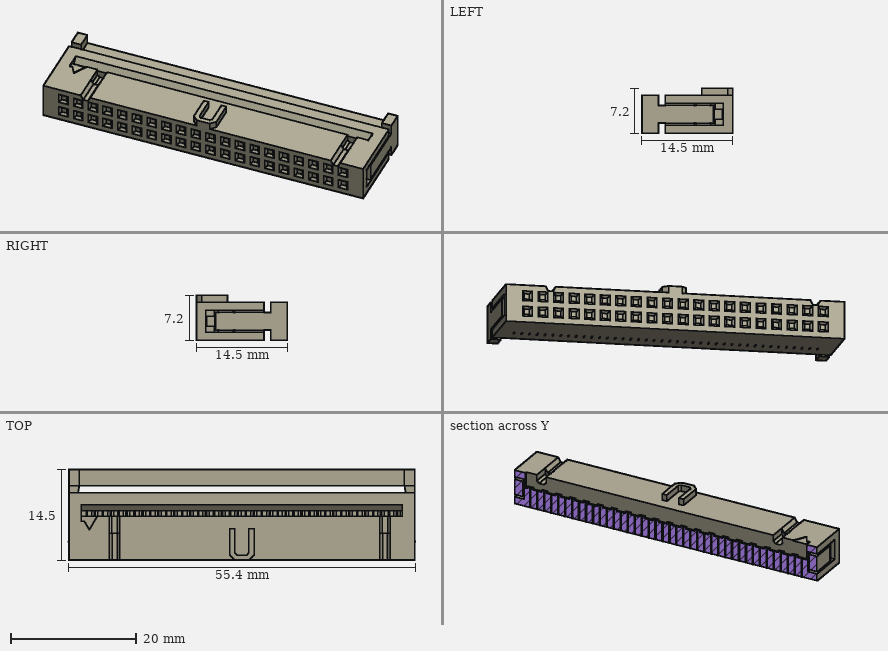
import cadquery as cq


overall_length = 55.4
overall_depth = 14.5
overall_height = 7.2
key_height = 1.1
body_depth = 10.8
arm_tip_bulge = 0.085
body_length = overall_length - 2 * arm_tip_bulge
body_height = overall_height - key_height
half_length = body_length / 2
mid_height = body_height / 2

clamp_bar_depth = 2.65
clamp_front = overall_depth - clamp_bar_depth
post_length = 1.65
arm_height = 2.8
arm_bottom = mid_height - arm_height / 2
arm_neck = 1.5
arm_end = 2.95
arm_tip_length = 0.15

column_count = 20
row_count = 2
row_length = 48.25
pitch = row_length / (column_count - 1)
wire_offset = pitch / 4
hole_mouth = 1.6
hole_floor = 0.85
hole_depth = (hole_mouth - hole_floor) / 2

slot_end_wall = 2.0
slot_length = body_length - 2 * slot_end_wall
slot_front = 7.05
slot_rear = 7.85
slot_lead_in = 1.0
slot_depth = 2.7
slot_floor = body_height - slot_depth
blade_width = 1.0
blade_rise = 0.3
slit_width = 0.1

channel_after_columns = (1, 18)
channel_width = 1.65
channel_floor_width = 0.8
channel_depth = 0.8
pocket_start = 4.3
pocket_depth = 1.45
pocket_chamfer = 0.4

key_width = 3.9
key_length = 5.0
key_wall = 0.85
key_inner_chamfer = 0.35

recess_height = 3.5
recess_bottom = mid_height - recess_height / 2
recess_front = 1.5
recess_depth = 0.7
front_ramp_start = 2.8
front_ramp_rise = 0.65
rear_ramp_start = 5.8
rear_ramp_rise = 0.35
window_height = 1.65
window_front = 1.65
window_depth = 0.4

mark_depth = 0.1
mark_tip_y = 4.9
mark_half_width = 1.3
mark_step = 0.85


def box(x0, x1, y0, y1, z0, z1):
    return cq.Workplane("XY").box(x1 - x0, y1 - y0, z1 - z0, centered=False).translate((x0, y0, z0))


def plan_prism(points, z0, z1):
    """Prism standing on an outline given in X and Y."""
    return cq.Workplane("XY").workplane(offset=z0).polyline(points).close().extrude(z1 - z0)


def front_prism(points, y0, y1):
    """Prism running along Y from an outline given in X and Z."""
    return cq.Workplane("XZ", origin=(0, y0, 0)).polyline(points).close().extrude(y0 - y1)


def both_ends(left_part):
    return left_part.union(left_part.mirror("YZ"))


def contact_hole():
    """Square contact mouth at the origin, tapering at 45 degrees to a flat floor."""
    return (
        cq.Workplane("XZ")
        .rect(hole_mouth, hole_mouth)
        .workplane(offset=-hole_depth)
        .rect(hole_floor, hole_floor)
        .loft(ruled=True)
    )


def column_x(column):
    return (column - (column_count - 1) / 2) * pitch


def cut_contact_holes(body):
    places = [
        (column_x(column), 0, mid_height + (row - (row_count - 1) / 2) * pitch)
        for column in range(column_count)
        for row in range(row_count)
    ]
    hole = contact_hole().val()
    holes = [hole.translate(cq.Vector(*place)) for place in places]
    return body.cut(cq.Workplane(cq.Compound.makeCompound(holes)))


def cut_cable_slot(body):
    profile = [
        (slot_front, slot_floor),
        (slot_rear, slot_floor),
        (slot_rear, body_height - slot_lead_in),
        (slot_rear + slot_lead_in, body_height),
        (slot_front, body_height),
    ]
    slot = cq.Workplane("YZ").polyline(profile).close().extrude(slot_length / 2, both=True)
    return body.cut(slot)


def add_blades_and_slits(body):
    """Raise a blade at every second wire and slit the slot floor at every wire."""
    blades = cq.Workplane("XY")
    slits = cq.Workplane("XY")
    for column in range(column_count):
        blade_x = column_x(column) + wire_offset
        blades.add(
            box(
                blade_x - blade_width / 2, blade_x + blade_width / 2,
                slot_front, slot_rear, slot_floor, slot_floor + blade_rise,
            )
        )
        for wire_x in (column_x(column) - wire_offset, blade_x):
            slits.add(
                box(wire_x - slit_width / 2, wire_x + slit_width / 2, slot_front, slot_rear, 0, body_height)
            )
    return body.union(blades.combine()).cut(slits.combine())


def channel(centre):
    """Trapezoid channel at the mating face that deepens into a pocket next to the cable slot."""
    left = centre - channel_width / 2
    right = centre + channel_width / 2
    entry_floor = body_height - channel_depth
    entry = front_prism(
        [
            (left, body_height),
            (centre - channel_floor_width / 2, entry_floor),
            (centre + channel_floor_width / 2, entry_floor),
            (right, body_height),
        ],
        0,
        pocket_start,
    )
    pocket = box(left, right, pocket_start, slot_front, body_height - pocket_depth, body_height)
    return entry.union(pocket.edges("|Y and <Z").chamfer(pocket_chamfer))


def key():
    outer = box(-key_width / 2, key_width / 2, 0, key_length, body_height, overall_height)
    outer = outer.faces("<Y").edges("|Z").chamfer(key_wall)
    half_gap = key_width / 2 - key_wall
    gap = box(-half_gap, half_gap, key_wall, key_length, body_height, overall_height)
    return outer.cut(gap.faces("<Y").edges("|Z").chamfer(key_inner_chamfer))


def end_recess():
    """Recess in the left end, open towards the cable clamp."""
    outside = -half_length
    floor_front = outside + recess_depth
    floor_middle = floor_front + front_ramp_rise
    floor_rear = floor_middle + rear_ramp_rise
    outline = [
        (outside, recess_front),
        (floor_front, recess_front),
        (floor_front, front_ramp_start),
        (floor_middle, front_ramp_start + front_ramp_rise),
        (floor_middle, rear_ramp_start),
        (floor_rear, rear_ramp_start + rear_ramp_rise),
        (floor_rear, body_depth),
        (outside, body_depth),
    ]
    recess = plan_prism(outline, recess_bottom, recess_bottom + recess_height)
    window = box(
        outside, floor_front + window_depth, window_front, arm_end,
        mid_height - window_height / 2, mid_height + window_height / 2,
    )
    return recess.union(window)


def clamp_arm():
    """Left arm of the clamp, filling the end recess, with a slight bulge at its tip."""
    outside = -half_length
    outline = [
        (outside, clamp_front),
        (outside + post_length, clamp_front),
        (outside + arm_neck, body_depth),
        (outside + arm_neck, arm_end + arm_neck - recess_depth),
        (outside + recess_depth, arm_end),
        (outside - arm_tip_bulge, arm_end),
        (outside, arm_end + arm_tip_length),
    ]
    return plan_prism(outline, arm_bottom, arm_bottom + arm_height)


def cable_clamp():
    bar = box(-half_length, half_length, clamp_front, overall_depth, arm_bottom, arm_bottom + arm_height)
    post = box(-half_length, post_length - half_length, clamp_front, overall_depth, 0, body_height)
    return bar.union(both_ends(post)).union(both_ends(clamp_arm()))


def first_contact_mark():
    """Shallow arrow beside the left end of the cable slot."""
    left = -slot_length / 2
    right = left + 2 * mark_half_width
    centre = left + mark_half_width
    step_y = slot_front - mark_step
    mark_bottom = body_height - mark_depth
    arrow = plan_prism(
        [(left, slot_front), (right, slot_front), (centre, mark_tip_y)], mark_bottom, body_height
    )
    return arrow.union(box(left, centre, step_y, slot_front, mark_bottom, body_height))


body = box(-half_length, half_length, 0, body_depth, 0, body_height)
body = cut_contact_holes(body)
body = cut_cable_slot(body)
body = add_blades_and_slits(body)
for column in channel_after_columns:
    body = body.cut(channel(column_x(column) + pitch / 2))
body = body.cut(both_ends(end_recess()))
body = body.cut(first_contact_mark())
result = body.union(key()).union(cable_clamp())